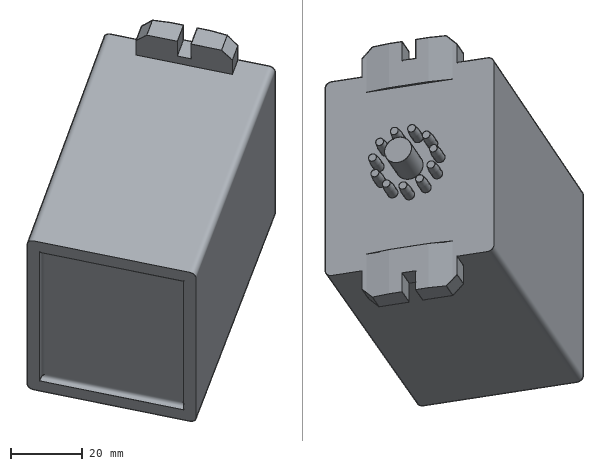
import cadquery as cq
import math

overall_length = 93.0
plug_length = 10.5
body_length = overall_length - plug_length
body_width = 50.0
body_height = 61.9
front_inset = 0.33
corner_radius = 1.95

window_width = 42.1
window_height = 52.9
window_depth = 2.0
window_floor_fillet = 1.0

overall_height = 80.0
tab_width = 28.2
tab_length = 14.1
tab_thickness = 5.9
tab_chamfer = 3.2
tab_slot_width = 4.0
tab_slot_depth = 6.0
pad_rise = 0.65
pad_base_width = 25.5
pad_top_width = 11.7

plug_diameter = 8.0
pin_count = 11
pin_circle_radius = 9.1
pin_diameter = 3.0
pin_tip_diameter = 2.3
pin_shank_length = 3.5
pin_length = 6.0


def housing():
    """Rounded box lofted from the front face (Y = 0) to the back face."""
    front = cq.Sketch().rect(body_width - 2 * front_inset, body_height - 2 * front_inset)
    back = cq.Sketch().rect(body_width, body_height)
    return (
        cq.Workplane("XZ")
        .placeSketch(
            front.vertices().fillet(corner_radius),
            back.vertices().fillet(corner_radius).moved(cq.Location(cq.Vector(0, 0, -body_length))),
        )
        .loft()
    )


def window():
    """Volume of the front recess, rounded where its walls meet the floor."""
    return (
        cq.Workplane("XZ")
        .rect(window_width, window_height)
        .extrude(-window_depth)
        .faces(">Y")
        .edges()
        .fillet(window_floor_fillet)
    )


def upper_tab():
    """Slotted tab with chamfered outer corners and a shallow raised pad on its back."""
    half_width = tab_width / 2
    half_pad_base = pad_base_width / 2
    half_pad_top = pad_top_width / 2
    front_y = body_length - tab_thickness
    tab_top = overall_height / 2
    plate = (
        cq.Workplane("XY", origin=(0, 0, tab_top - tab_length))
        .moveTo(-half_width, front_y)
        .lineTo(half_width, front_y)
        .lineTo(half_width, body_length)
        .lineTo(half_pad_base, body_length)
        .lineTo(half_pad_top, body_length + pad_rise)
        .lineTo(-half_pad_top, body_length + pad_rise)
        .lineTo(-half_pad_base, body_length)
        .lineTo(-half_width, body_length)
        .close()
        .extrude(tab_length)
    )
    outer_corners = (
        cq.Workplane("XZ", origin=(0, front_y, 0))
        .rect(tab_width, overall_height)
        .extrude(-(tab_thickness + pad_rise))
        .edges("|Y")
        .chamfer(tab_chamfer)
    )
    slot = (
        cq.Workplane("XZ", origin=(0, front_y, tab_top - tab_slot_depth / 2))
        .rect(tab_slot_width, tab_slot_depth)
        .extrude(-(tab_thickness + pad_rise))
    )
    return plate.intersect(outer_corners).cut(slot)


def plug():
    """Central cylinder on the back face."""
    return cq.Workplane("XZ", origin=(0, body_length, 0)).circle(plug_diameter / 2).extrude(-plug_length)


def pin(angle):
    """Pin with a straight shank and a tapered tip, at an angle from +X toward +Z."""
    shank_radius = pin_diameter / 2
    profile = (
        cq.Workplane("XY")
        .lineTo(shank_radius, 0)
        .lineTo(shank_radius, pin_shank_length)
        .lineTo(pin_tip_diameter / 2, pin_length)
        .lineTo(0, pin_length)
        .close()
    )
    x = pin_circle_radius * math.cos(angle)
    z = pin_circle_radius * math.sin(angle)
    return profile.revolve(360, (0, 0, 0), (0, 1, 0)).translate((x, body_length, z))


tab = upper_tab()
result = housing().cut(window()).union(tab).union(tab.mirror("XY")).union(plug())

for index in range(pin_count):
    result = result.union(pin(-math.pi / 2 + index * 2 * math.pi / pin_count))